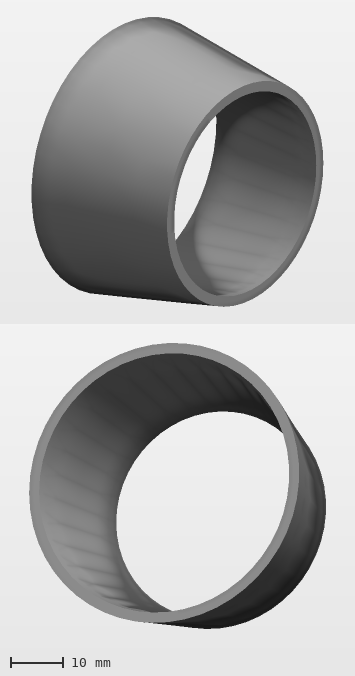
import cadquery as cq

LENGTH = 30.0
WALL = 2.0
LARGE_RADIUS = 27.0
SMALL_RADIUS = 22.0


def lofted_cone(large_radius, small_radius):
    """Loft along X between two coaxial circles."""
    return (
        cq.Workplane("YZ")
        .circle(large_radius)
        .workplane(offset=LENGTH)
        .circle(small_radius)
        .loft(ruled=True)
    )


outer = lofted_cone(LARGE_RADIUS, SMALL_RADIUS)
bore = lofted_cone(LARGE_RADIUS - WALL, SMALL_RADIUS - WALL)
result = outer.cut(bore)